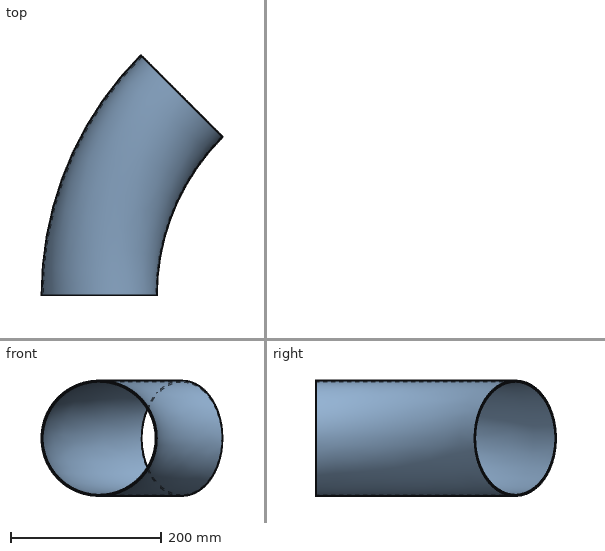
import cadquery as cq

outer_diameter = 154.0
wall_thickness = 2.0
bend_radius = 375.0
bend_angle = 45.0

outer_radius = outer_diameter / 2
inner_radius = outer_radius - wall_thickness


def elbow():
    """Revolve the pipe ring about a Z-parallel axis through the bend centre."""
    ring = cq.Workplane("XZ").circle(outer_radius).circle(inner_radius)
    axis_start = (bend_radius, 0)
    axis_end = (bend_radius, -1)
    return ring.revolve(bend_angle, axis_start, axis_end)


result = elbow()